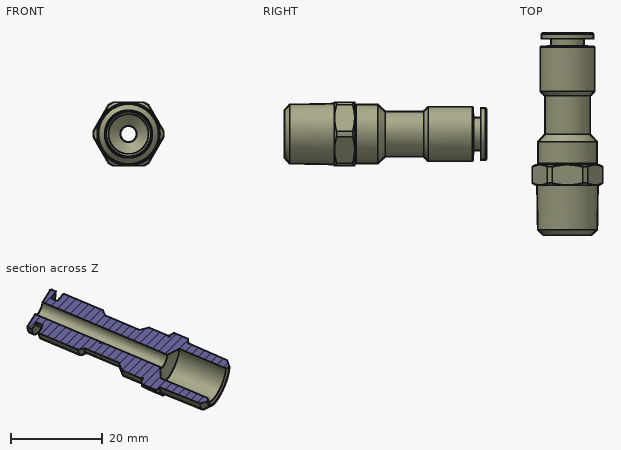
import cadquery as cq
import math


thread_length = 11.0
thread_tip_diameter = 13.15
thread_root_diameter = 13.46
thread_chamfer_length = 1.25
thread_face_diameter = 10.5

hex_sides = 6
hex_width = 14.0
hex_corner_diameter = 15.5
hex_length = 4.5
hex_face_diameter = 13.85
hex_chamfer_angle = 30.0

collar_diameter = 13.0
collar_length = 5.05
collar_chamfer = 0.3
collar_taper_length = 1.6

waist_diameter = 10.0
waist_length = 8.45
socket_diameter = 12.0
socket_length = 9.9
socket_chamfer = 0.25
socket_rim_diameter = 8.75
socket_rim_height = 0.15

neck_diameter = 7.3
neck_length = 1.47
flange_diameter = 11.5
flange_chamfer = 0.3
flange_thickness = 1.33

bore_diameter = 8.75
bore_mouth_diameter = 9.8
bore_mouth_depth = 0.5
bore_depth = 12.0
bore_tip_angle = 118.0
passage_diameter = 3.5

hex_start = thread_length
hex_end = hex_start + hex_length
collar_end = hex_end + collar_length
waist_start = collar_end + collar_taper_length
waist_end = waist_start + waist_length
socket_taper_length = (socket_diameter - waist_diameter) / 2
socket_start = waist_end + socket_taper_length
socket_end = socket_start + socket_length
rim_end = socket_end + socket_rim_height
flange_start = rim_end + neck_length
total_length = flange_start + flange_thickness


def revolved(profile):
    """Turn a closed profile of (diameter, y) points about the Y axis."""
    points = [(diameter / 2, y) for diameter, y in profile]
    return cq.Workplane("XY").polyline(points).close().revolve(360, (0, 0, 0), (0, 1, 0))


def turned_body():
    return revolved([
        (0, 0),
        (thread_face_diameter, 0),
        (thread_tip_diameter, thread_chamfer_length),
        (thread_root_diameter, hex_start),
        (thread_root_diameter, hex_end),
        (collar_diameter - 2 * collar_chamfer, hex_end),
        (collar_diameter, hex_end + collar_chamfer),
        (collar_diameter, collar_end),
        (waist_diameter, waist_start),
        (waist_diameter, waist_end),
        (socket_diameter, socket_start),
        (socket_diameter, socket_end - socket_chamfer),
        (socket_diameter - 2 * socket_chamfer, socket_end),
        (socket_rim_diameter, socket_end),
        (socket_rim_diameter, rim_end),
        (neck_diameter, rim_end),
        (neck_diameter, flange_start),
        (flange_diameter, flange_start),
        (flange_diameter, total_length - flange_chamfer),
        (flange_diameter - 2 * flange_chamfer, total_length),
        (0, total_length),
    ])


def hexagon_nut():
    """Hexagon with flats facing +Z and -Z, its corners turned down and chamfered."""
    across_corners = hex_width / math.cos(math.pi / hex_sides)
    prism = (
        cq.Workplane("XZ", origin=(0, hex_start, 0))
        .polygon(hex_sides, across_corners)
        .extrude(-hex_length)
    )
    corner_height = (hex_corner_diameter - hex_face_diameter) / 2
    chamfer_length = corner_height * math.tan(math.radians(hex_chamfer_angle))
    envelope = revolved([
        (0, hex_start),
        (hex_face_diameter, hex_start),
        (hex_corner_diameter, hex_start + chamfer_length),
        (hex_corner_diameter, hex_end - chamfer_length),
        (hex_face_diameter, hex_end),
        (0, hex_end),
    ])
    return prism.intersect(envelope)


def passage():
    """Chamfered bore with a conical floor, leading into the narrow through passage."""
    cone_length = (bore_diameter - passage_diameter) / 2 / math.tan(math.radians(bore_tip_angle / 2))
    return revolved([
        (0, 0),
        (bore_mouth_diameter, 0),
        (bore_diameter, bore_mouth_depth),
        (bore_diameter, bore_depth),
        (passage_diameter, bore_depth + cone_length),
        (passage_diameter, total_length),
        (0, total_length),
    ])


fitting = turned_body().union(hexagon_nut()).cut(passage())
result = fitting.translate((0, -total_length / 2, 0))